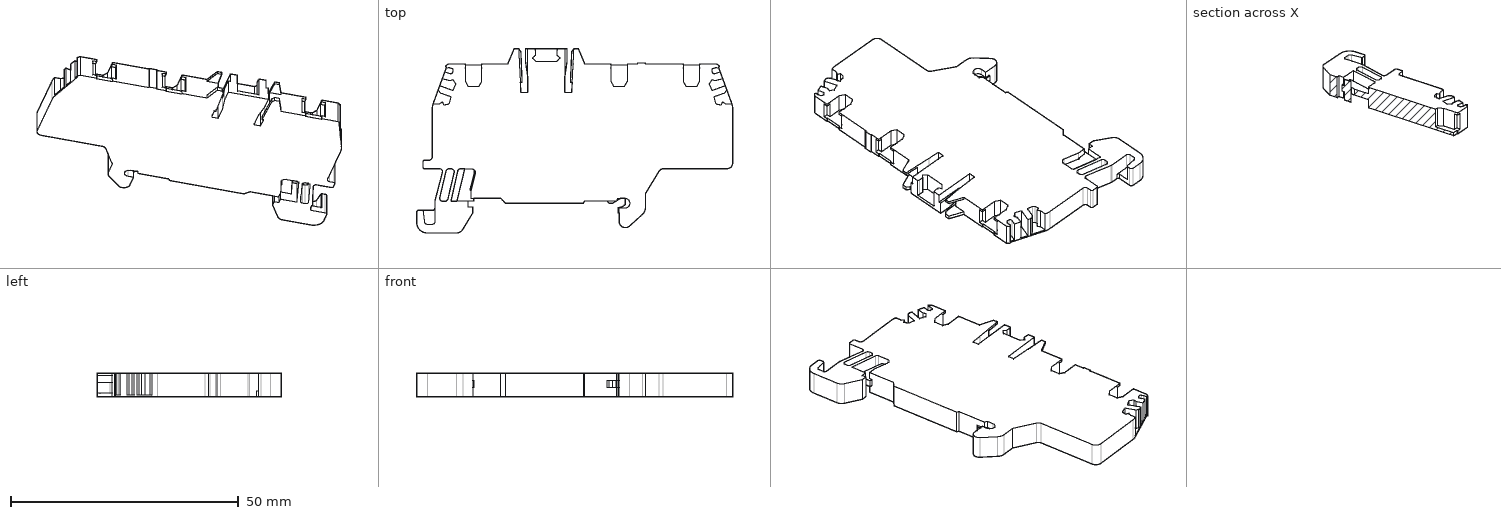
import cadquery as cq
import math

thickness = 5.2
foot_top = 14.1
body_top = 37.2
tab_top = 40.5
body_left = 3.4
body_right = 69.5
mid_x = (body_left + body_right) / 2
holder_x = 28.5
rail_y = 7.0
seat_relief_y = 7.65
seat_pad_y = 6.5

skin_bottom = 0.8
skin_top = 4.65
notch_floor = 0.35
web_bottom = 2.0
web_top = 3.6
web_overlap = 0.35


def rounded_prism(corners, bottom, top):
    """Extrude a closed outline of (x, y) or (x, y, corner radius) points."""
    corner_paths = []
    for i, corner in enumerate(corners):
        x, y = corner[:2]
        if len(corner) == 2:
            corner_paths.append([(x, y)])
            continue
        radius = corner[2]
        prev_x, prev_y = corners[i - 1][:2]
        next_x, next_y = corners[(i + 1) % len(corners)][:2]
        to_prev = cq.Vector(prev_x - x, prev_y - y).normalized()
        to_next = cq.Vector(next_x - x, next_y - y).normalized()
        half_angle = to_prev.getAngle(to_next) / 2
        setback = radius / math.tan(half_angle)
        bulge = radius / math.sin(half_angle) - radius
        inward = (to_prev + to_next).normalized()
        point = cq.Vector(x, y)
        ends = (point + to_prev * setback, point + inward * bulge, point + to_next * setback)
        corner_paths.append([end.toTuple()[:2] for end in ends])

    outline = cq.Workplane("XY").workplane(offset=bottom).moveTo(*corner_paths[0][-1])
    for path in corner_paths[1:] + corner_paths[:1]:
        outline = outline.lineTo(*path[0])
        if len(path) == 3:
            outline = outline.threePointArc(path[1], path[2])
    return outline.wire().extrude(top - bottom)


def flipped(corners, axis_x):
    """Mirror outline points about the line X = axis_x, in reversed order."""
    return [(2 * axis_x - c[0], *c[1:]) for c in reversed(corners)]


def both_sides(corners, axis_x):
    """Return an outline together with its mirror image about X = axis_x."""
    return corners, flipped(corners, axis_x)


movable_jaw = [
    (11.3, rail_y),
    (11.3, 5.8),
    (12.4, 5.8),
    (12.4, 4.45),
    (9.65, 0, 1.7),
    (0, 0, 2.35),
    (0, 5.1, 0.55),
    (4.0, 5.1),
]
left_side = [
    (4.0, 7.15, 1.4),
    (5.85, foot_top, 0.55),
    (1.4, foot_top, 0.35),
    (1.4, 16.05, 0.35),
    (body_left, 16.05, 0.7),
]
flank = [
    (body_left, 27.9, 3.8),
    (6.5, 36.4),
    (6.3, 36.7),
    (6.95, body_top),
]
marker_tab = [
    (20.0, body_top),
    (21.4, tab_top),
    (22.45, tab_top),
    (22.8, 33.7),
    (22.95, 30.9),
    (24.4, 30.9),
    (24.4, tab_top),
]
bump_height = 0.2
top_bump = [
    (48.5, body_top),
    (48.5, body_top + bump_height),
    (50.25, body_top + bump_height),
    (50.25, body_top),
]
right_side = [
    (body_right, foot_top, 1.4),
    (53.6, foot_top, 1.05),
]
fixed_hook = [
    (50.3, 8.7),
    (50.3, 4.7, 2.1),
    (44.5, -0.55, 1.4),
    (44.5, 5.5),
    (46.85, 5.5, 1.05),
    (46.85, seat_relief_y, 1.05),
    (44.2, seat_relief_y),
    (43.9, rail_y),
]
rail_seat = [
    (36.9, rail_y),
    (36.6, seat_pad_y),
    (19.5, seat_pad_y),
    (18.5, seat_relief_y),
    (11.95, seat_relief_y),
    (11.95, 9.45),
    (13.15, foot_top, 0.8),
    (9.2, foot_top, 0.5),
    (7.6, rail_y),
]
housing = rounded_prism(
    movable_jaw + left_side + flank + marker_tab + flipped(marker_tab, holder_x)
    + top_bump + flipped(flank, mid_x) + right_side + fixed_hook + rail_seat,
    0, thickness,
)

spring_slot = [
    (6.6, foot_top, 0.6),
    (8.4, foot_top, 0.6),
    (6.75, rail_y, 0.6),
    (4.9, rail_y, 0.6),
]
housing = housing.cut(rounded_prism(spring_slot, 0, thickness))

jaw_floor = 1.3
jaw_pocket = [(1.25, 5.1), (1.45, 4.85), (1.8, 1.95, 0.55), (4.0, 1.95, 0.55), (4.0, 5.1)]
jaw_ledge = [(4.0, 5.0), (3.7, 5.0), (4.0, 5.5)]
housing = housing.cut(rounded_prism(jaw_pocket, jaw_floor, thickness))
housing = housing.union(rounded_prism(jaw_ledge, 0, jaw_floor))

pocket_width = 3.6
pocket_base_width = 2.2
pocket_base_y = 32.2
pocket_shoulder_y = 33.35
setback_y = 36.3
lower_wall_setback = 0.2
setback_margin = 0.9

first_pocket_x = 12.5
for pocket_x in (first_pocket_x, 44.5, 2 * mid_x - first_pocket_x):
    half = pocket_width / 2
    base_half = pocket_base_width / 2
    pocket = [
        (pocket_x - half, body_top),
        (pocket_x - half, pocket_shoulder_y),
        (pocket_x - base_half, pocket_base_y),
        (pocket_x + base_half, pocket_base_y),
        (pocket_x + half, pocket_shoulder_y),
        (pocket_x + half, body_top),
    ]
    housing = housing.cut(rounded_prism(pocket, skin_bottom, thickness))
    housing = housing.cut(
        cq.Workplane("XY").box(pocket_width, 2 * lower_wall_setback, 2 * skin_bottom)
        .translate((pocket_x, body_top, 0))
    )
    housing = housing.cut(
        cq.Workplane("XY")
        .box(pocket_width + 2 * setback_margin, body_top - setback_y, skin_top - skin_bottom,
             centered=(True, False, False))
        .translate((pocket_x, setback_y, skin_bottom))
    )

tab_gap = [(19.45, body_top), (19.45, tab_top), (22.95, tab_top), (22.95, body_top)]
tab_lip = [(22.25, tab_top), (22.45, tab_top), (22.95, 39.9), (23.2, 33.15), (22.6, 33.15)]
block_step_z = 3.1
block_step = [(25.0, tab_top), (23.9, tab_top), (23.9, 37.7), (24.4, 34.3), (25.0, 34.3)]
for gap in both_sides(tab_gap, holder_x):
    housing = housing.cut(rounded_prism(gap, skin_bottom, skin_top))
for lip in both_sides(tab_lip, holder_x):
    housing = housing.union(rounded_prism(lip, 0, skin_bottom))
for step in both_sides(block_step, holder_x):
    housing = housing.union(rounded_prism(step, 0, block_step_z))

block_pocket_left = [
    (26.0, tab_top),
    (26.1, 40.0),
    (26.1, 39.05),
    (25.45, 38.5),
    (26.3, 37.7),
]
housing = housing.cut(rounded_prism(
    block_pocket_left + flipped(block_pocket_left, holder_x), skin_bottom, thickness))

round_notch = [(5.9, 36.3), (7.15, 36.35, 0.35), (8.05, 36.1, 0.35), (7.85, 34.9, 0.4), (5.9, 35.5)]
clip_notch = [
    (5.55, 34.0),
    (7.2, 33.5),
    (8.0, 33.7),
    (8.6, 32.8),
    (8.0, 31.35),
    (4.85, 32.45),
]
hooked_notch = [
    (4.5, 31.8),
    (4.85, 31.75),
    (4.85, 31.3),
    (5.2, 30.8),
    (7.6, 29.95),
    (7.15, 28.35, 0.55),
    (6.0, 28.15),
    (5.7, 28.85),
    (5.0, 28.4),
    (3.5, 28.4),
]
for notch in (round_notch, clip_notch, hooked_notch):
    for corners in both_sides(notch, mid_x):
        housing = housing.cut(rounded_prism(corners, notch_floor, thickness))

jaw_web = [
    (10.6, foot_top + web_overlap),
    (8.8, rail_y),
    (8.8, rail_y - web_overlap),
    (11.3, rail_y - web_overlap),
    (11.3, rail_y),
    (12.6, rail_y),
    (12.6, 8.0),
    (11.95, 8.35),
    (11.95, 9.45),
    (11.75, 9.45),
    (12.7, 13.2),
    (12.7, foot_top + web_overlap),
]
rail_barb = [
    (41.85, rail_y + web_overlap),
    (41.85, rail_y),
    (42.3, seat_pad_y),
    (43.1, seat_pad_y),
    (44.8, seat_relief_y),
    (44.8, seat_relief_y + web_overlap),
]
hook_web = [
    (47.25, seat_relief_y + web_overlap),
    (45.8, seat_relief_y + web_overlap),
    (45.8, 6.25),
    (45.2, 5.85),
    (44.2, 5.55),
    (44.2, 4.45),
    (47.25, 4.45),
]
for web in (jaw_web, rail_barb, hook_web):
    housing = housing.union(rounded_prism(web, web_bottom, web_top))

result = housing